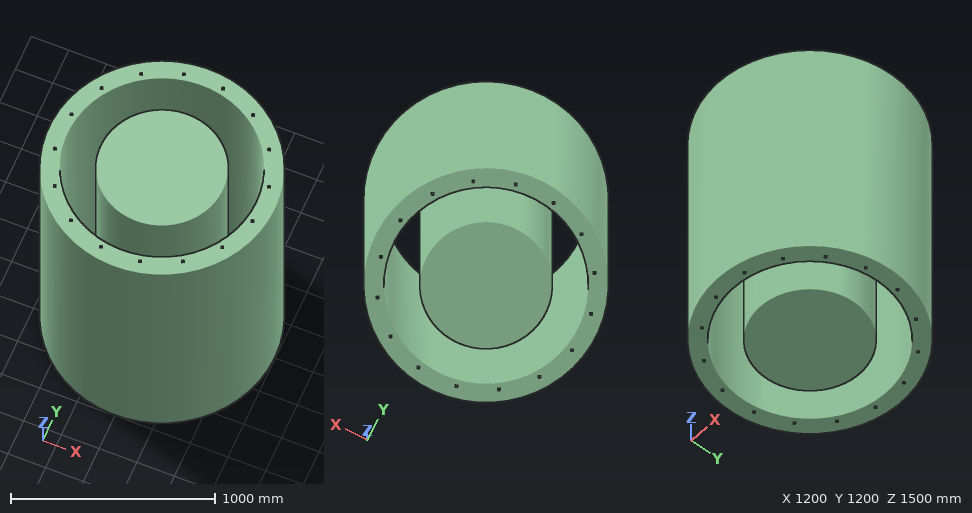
import cadquery as cq

height = 1500.0
outer_diameter = 1200.0
bore_diameter = 1000.0
core_diameter = 650.0
edge_fillet = 2.0

hole_count = 16
hole_diameter = 12.0
hole_circle_diameter = 1070.0
first_hole_angle = 360 / hole_count / 2


def make_housing():
    """Open tube with rounded rims and a ring of small holes running its full height."""
    tube = (
        cq.Workplane("XY")
        .circle(outer_diameter / 2)
        .circle(bore_diameter / 2)
        .extrude(height)
        .faces("<Z or >Z")
        .edges()
        .fillet(edge_fillet)
    )
    holes = (
        cq.Workplane("XY")
        .polarArray(hole_circle_diameter / 2, first_hole_angle, 360, hole_count)
        .circle(hole_diameter / 2)
        .extrude(height)
    )
    return tube.cut(holes)


def make_core():
    """Solid cylinder with rounded ends, standing free on the axis of the housing."""
    return (
        cq.Workplane("XY")
        .circle(core_diameter / 2)
        .extrude(height)
        .faces("<Z or >Z")
        .edges()
        .fillet(edge_fillet)
    )


housing = make_housing()
core = make_core()

result = cq.Compound.makeCompound([housing.val(), core.val()])